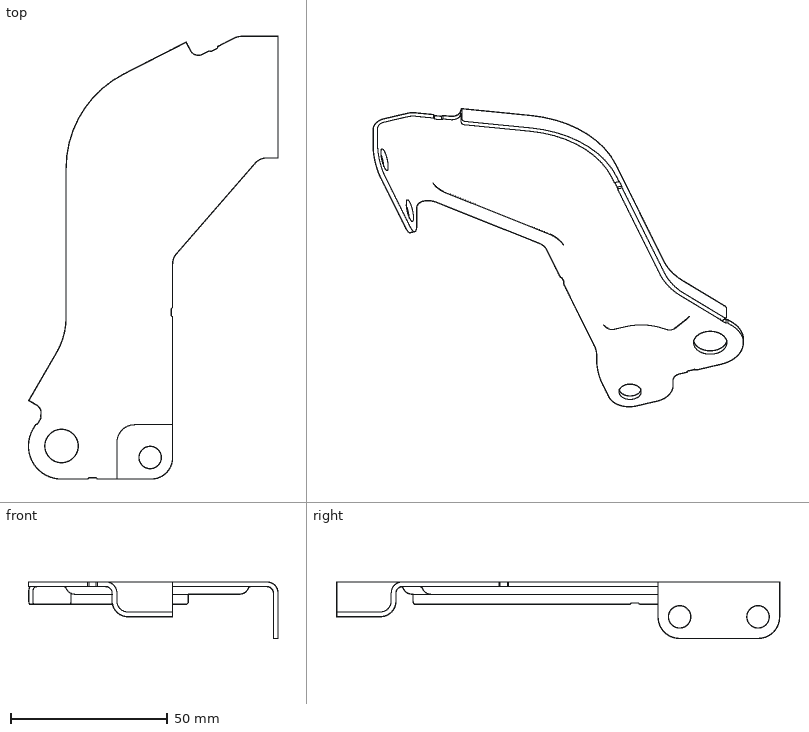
import cadquery as cq
import math

width = 79.9
length = 141.6
thickness = 1.5

shortest_edge = 0.001

upper_slope = 27.0
lower_slope = 60.0
right_slope = 49.0

body_right = 46.2
ear_radius = 10.6
ear_hole_diameter = 10.6
edge_radius = 5.0
relief_radius = 2.8
slant_foot_y = 70.7
head_bottom_y = 102.7

bend_line_x = 15.0
flange_bend_radius = 3.0
flange_depth = 7.2
flange_corner_radius = 1.0
flange_start_y = 23.6
flange_end_x = 51.8
lower_bend_top_y = 51.7
lower_bend_radius = 25.0
upper_bend_bottom_y = 99.4
upper_bend_radius = 30.9

mount_bend_radius = 3.5
mount_depth = 18.1
mount_corner_radius = 7.0

screw_hole_diameter = 7.1

tab_drop = 9.6
tab_bend_radius = 3.5
tab_left_x = 24.8
tab_top_y = 21.0
tab_step_radius = 9.2
tab_corner_radius = 7.0
tab_wall_angle = 90.0
tab_hole_x = 39.0
tab_hole_y = 7.0

panel_depth = 2.4
panel_margin = 5.5
panel_rim_radius = 2.1
panel_floor_radius = 1.4
panel_wall_angle = 65.0
panel_right_x = 71.0
panel_shoulder_y = 130.1
panel_shoulder_end_x = 56.8
panel_foot_y = 26.8
panel_foot_arc_end_x = 27.2
panel_foot_slope = 46.0
panel_end_gap = 12.7
panel_corner_radius = 3.5
panel_head_radius = 5.0
panel_elbow_radius = 9.0
panel_waist_radius = 12.5
panel_foot_radius = 14.9
panel_shoulder_radius = 16.4
panel_dip_radius = 9.8

notch_width = 3.1
notch_depth = 0.4
bottom_notch_x = 20.5
right_notch_y = 53.4
ear_notch_y = 18.8
top_notch_x = 59.2
flange_notch_y = 95.3


def heading(angle):
    return cq.Vector(math.cos(math.radians(angle)), math.sin(math.radians(angle)), 0)


def line(x, y, angle):
    return cq.Vector(x, y, 0), heading(angle)


def shifted(base, distance):
    """The parallel line at a distance to the left of the given one."""
    point, along = base
    return point + cq.Vector(-along.y, along.x, 0) * distance, along


def meet(first, second):
    """Crossing point of two lines."""
    (p, d), (q, e) = first, second
    return p + d * ((q - p).cross(e).z / d.cross(e).z)


def point_at_x(base, x):
    return meet(base, line(x, 0, 90))


def point_at_y(base, y):
    return meet(base, line(0, y, 0))


def rounded_edges(corners, closed=True):
    """Chained edges through (point, radius) corners, each corner rounded by a tangent arc."""
    points = [corner[0] for corner in corners]
    count = len(points)
    edges = []
    if closed:
        first = (points[-1] + points[0]) * 0.5
        inner = range(count)
        last = first
    else:
        first = points[0]
        inner = range(1, count - 1)
        last = points[-1]
    current = first

    def straight_to(end):
        if (end - current).Length > shortest_edge:
            edges.append(cq.Edge.makeLine(current, end))

    for i in inner:
        corner, radius = corners[i]
        if radius == 0:
            straight_to(corner)
            current = corner
            continue
        back = (points[i - 1] - corner).normalized()
        ahead = (points[(i + 1) % count] - corner).normalized()
        half_angle = back.getAngle(ahead) / 2
        reach = radius / math.tan(half_angle)
        start = corner + back * reach
        end = corner + ahead * reach
        bisector = (back + ahead).normalized()
        middle = corner + bisector * (radius / math.sin(half_angle) - radius)
        straight_to(start)
        edges.append(cq.Edge.makeThreePointArc(start, middle, end))
        current = end
    straight_to(last)
    return edges


def sheet(corners, top=0.0):
    """Flat piece of sheet with the given rounded outline and top height."""
    outline = cq.Wire.assembleEdges(rounded_edges(corners))
    flat = cq.Solid.extrudeLinear(outline, [], cq.Vector(0, 0, -thickness))
    return cq.Workplane(flat.translate(cq.Vector(0, 0, top)))


def section_plane(start, along):
    """Plane across a path: local x points to the left of the path, local y points up."""
    return cq.Plane(origin=start.toTuple(), xDir=(-along.y, along.x, 0), normal=along.toTuple())


def swept(section, corners, closed):
    """Carry a sheet section along a rounded path, stretch by stretch."""
    pieces = cq.Workplane()
    for edge in rounded_edges(corners, closed):
        start = edge.startPoint()
        along = edge.tangentAt(0)
        plane = section_plane(start, along)
        face = section(cq.Workplane(plane))
        if edge.geomType() == "LINE":
            piece = face.extrude(edge.Length())
        else:
            center = edge.arcCenter()
            side = plane.toLocalCoords(center).x
            sweep_angle = math.degrees(edge.Length() / edge.radius())
            axis_end = math.copysign(1, side)
            piece = face.revolve(sweep_angle, (side, 0, 0), (side, axis_end, 0))
        pieces = pieces.union(piece)
    return pieces


def turned_down(bend_radius, depth):
    """Section of a flange bent down by a right angle."""
    inner_radius = bend_radius - thickness
    half = math.sqrt(0.5)

    def section(plane):
        return (
            plane.moveTo(0, 0)
            .threePointArc((bend_radius * half, bend_radius * (half - 1)), (bend_radius, -bend_radius))
            .lineTo(bend_radius, -depth)
            .lineTo(inner_radius, -depth)
            .lineTo(inner_radius, -bend_radius)
            .threePointArc((inner_radius * half, inner_radius * half - bend_radius), (0, -thickness))
            .close()
        )

    return section


def step_width(drop, rim_radius, floor_radius, wall_angle):
    """Plan width of a step."""
    angle = math.radians(wall_angle)
    radii = rim_radius + floor_radius
    wall = (drop - radii * (1 - math.cos(angle))) / math.sin(angle)
    return radii * math.sin(angle) + wall * math.cos(angle)


def stepped_down(drop, rim_radius, floor_radius, wall_angle):
    """Section of a step: bend down, straight wall, bend back to level."""
    full = math.radians(wall_angle)
    run = step_width(drop, rim_radius, floor_radius, wall_angle)

    def on_rim(radius, angle):
        return radius * math.sin(angle), radius * math.cos(angle) - rim_radius

    def on_floor(radius, angle):
        return run - radius * math.sin(angle), floor_radius - drop - radius * math.cos(angle)

    rim_under = rim_radius - thickness
    floor_under = floor_radius + thickness

    def section(plane):
        return (
            plane.moveTo(0, 0)
            .threePointArc(on_rim(rim_radius, full / 2), on_rim(rim_radius, full))
            .lineTo(*on_floor(floor_radius, full))
            .threePointArc(on_floor(floor_radius, full / 2), on_floor(floor_radius, 0))
            .lineTo(*on_floor(floor_under, 0))
            .threePointArc(on_floor(floor_under, full / 2), on_floor(floor_under, full))
            .lineTo(*on_rim(rim_under, full))
            .threePointArc(on_rim(rim_under, full / 2), on_rim(rim_under, 0))
            .close()
        )

    return section


left_line = line(bend_line_x, 0, 90)
lower_reach = lower_bend_radius * math.tan(math.radians(90 - lower_slope) / 2)
lower_line = line(bend_line_x, lower_bend_top_y - lower_reach, lower_slope)
upper_reach = upper_bend_radius * math.tan(math.radians(90 - upper_slope) / 2)
upper_line = line(bend_line_x, upper_bend_bottom_y + upper_reach, upper_slope)
right_line = line(body_right, slant_foot_y, 90)
slant_line = line(body_right, slant_foot_y, right_slope)

flange_start = point_at_y(lower_line, flange_start_y)
flange_end = point_at_x(upper_line, flange_end_x)
bend_path = [
    (flange_start, 0),
    (meet(lower_line, left_line), lower_bend_radius),
    (meet(left_line, upper_line), upper_bend_radius),
    (flange_end, 0),
]

ear_center = cq.Vector(ear_radius, ear_radius, 0)
ear_line = shifted((ear_center, heading(lower_slope)), ear_radius)
top_edge_line = shifted(upper_line, -relief_radius)
flange_start_line = (flange_start, heading(lower_slope - 90))
flange_end_line = (flange_end, heading(upper_slope - 90))

mount_line_x = width - mount_bend_radius
tab_path = [
    (cq.Vector(body_right, tab_top_y, 0), 0),
    (cq.Vector(tab_left_x, tab_top_y, 0), tab_step_radius),
    (cq.Vector(tab_left_x, 0, 0), 0),
]

plate_outline = (
    [
        (point_at_y(ear_line, 0), ear_radius),
        (meet(ear_line, flange_start_line), relief_radius),
    ]
    + bend_path
    + [
        (meet(flange_end_line, top_edge_line), relief_radius),
        (point_at_y(top_edge_line, length), edge_radius),
        (cq.Vector(mount_line_x, length, 0), 0),
        (cq.Vector(mount_line_x, head_bottom_y, 0), 0),
        (point_at_y(slant_line, head_bottom_y), edge_radius),
        (meet(slant_line, right_line), edge_radius),
    ]
    + tab_path
)

panel_left = shifted(left_line, -panel_margin)
panel_lower = shifted(lower_line, -panel_margin)
panel_upper = shifted(upper_line, -panel_margin)
panel_right = shifted(right_line, panel_margin)
panel_slant = shifted(slant_line, panel_margin)
panel_dip = line(panel_shoulder_end_x, panel_shoulder_y, upper_slope)
panel_foot = line(panel_foot_arc_end_x, panel_foot_y, panel_foot_slope)
panel_end = shifted((ear_center, heading(lower_slope - 90)), panel_end_gap)
panel_outline = [
    (meet(panel_left, panel_lower), lower_bend_radius + panel_margin),
    (meet(panel_lower, panel_end), panel_corner_radius),
    (meet(panel_end, panel_foot), panel_corner_radius),
    (point_at_y(panel_foot, panel_foot_y), panel_foot_radius),
    (point_at_y(panel_right, panel_foot_y), panel_corner_radius),
    (meet(panel_right, panel_slant), panel_waist_radius),
    (point_at_x(panel_slant, panel_right_x), panel_elbow_radius),
    (point_at_x(panel_dip, panel_right_x), panel_head_radius),
    (point_at_y(panel_dip, panel_shoulder_y), panel_dip_radius),
    (point_at_y(panel_upper, panel_shoulder_y), panel_shoulder_radius),
    (meet(panel_upper, panel_left), upper_bend_radius - panel_margin),
]


def make_plate():
    ear_hole = cq.Workplane().center(ear_center.x, ear_center.y).circle(ear_hole_diameter / 2)
    return sheet(plate_outline).cut(sheet(panel_outline)).cut(ear_hole.extrude(-thickness))


def inset_corners(corners, distance):
    """Counter-clockwise outline moved inwards, with its arcs kept concentric."""
    points = [corner[0] for corner in corners]
    sides = []
    for i, point in enumerate(points):
        sides.append(shifted((points[i - 1], (point - points[i - 1]).normalized()), distance))
    moved = []
    for i, (_, radius) in enumerate(corners):
        following = sides[(i + 1) % len(sides)]
        turn = sides[i][1].cross(following[1]).z
        moved.append((meet(sides[i], following), radius - math.copysign(distance, turn)))
    return moved


def make_panel():
    step = (panel_depth, panel_rim_radius, panel_floor_radius, panel_wall_angle)
    wall = swept(stepped_down(*step), panel_outline, closed=True)
    floor = sheet(inset_corners(panel_outline, step_width(*step)), -panel_depth)
    return wall.union(floor)


def make_left_flange():
    flange = swept(turned_down(flange_bend_radius, flange_depth), bend_path, closed=False)
    for end in (flange_start_line, flange_end_line):
        lip = end[0] - end[1] * (flange_bend_radius - thickness / 2)
        low = (lip.x - thickness, lip.y - thickness, -flange_depth - thickness)
        high = (lip.x + thickness, lip.y + thickness, -flange_depth + thickness)
        corner = flange.edges(cq.selectors.BoxSelector(low, high)).edges("<Z")
        flange = corner.fillet(flange_corner_radius)
    return flange


def make_mounting_flange():
    bend_end = cq.Vector(mount_line_x, length, 0)
    bend_start = cq.Vector(mount_line_x, head_bottom_y, 0)
    path = [(bend_end, 0), (bend_start, 0)]
    flange = swept(turned_down(mount_bend_radius, mount_depth), path, closed=False)
    flange = flange.faces("<Z").edges("|X").fillet(mount_corner_radius)
    inset = mount_corner_radius
    holes = (
        cq.Workplane("YZ")
        .pushPoints([(y, inset - mount_depth) for y in (head_bottom_y + inset, length - inset)])
        .circle(screw_hole_diameter / 2)
        .extrude(width)
    )
    return flange.cut(holes)


def make_tab():
    step = (tab_drop, tab_bend_radius, tab_bend_radius, tab_wall_angle)
    run = step_width(*step)
    wall = swept(stepped_down(*step), tab_path, closed=False)
    left = tab_left_x + run
    top = tab_top_y - run
    floor = sheet(
        [
            (cq.Vector(left, 0, 0), 0),
            (cq.Vector(body_right, 0, 0), tab_corner_radius),
            (cq.Vector(body_right, top, 0), 0),
            (cq.Vector(left, top, 0), tab_step_radius - run),
        ],
        -tab_drop,
    )
    hole = (
        cq.Workplane()
        .center(tab_hole_x, tab_hole_y)
        .circle(screw_hole_diameter / 2)
        .extrude(-tab_drop - thickness)
    )
    return wall.union(floor.cut(hole))


def notch(plane, reach):
    """Shallow trapezoid cut into the edge on local x, on its +y side."""
    half = notch_width / 2
    inner = half - notch_depth
    outline = [
        (-half, -notch_depth),
        (-half, 0),
        (-inner, notch_depth),
        (inner, notch_depth),
        (half, 0),
        (half, -notch_depth),
    ]
    return cq.Workplane(plane).polyline(outline).close().extrude(reach, both=True)


def plan_notch(point, along):
    return notch(cq.Plane(origin=point.toTuple(), xDir=along.toTuple(), normal=(0, 0, 1)), thickness)


result = make_plate()
for piece in (make_panel(), make_left_flange(), make_mounting_flange(), make_tab()):
    result = result.union(piece)

plan_notches = [
    (cq.Vector(bottom_notch_x, 0, 0), heading(0)),
    (cq.Vector(body_right, right_notch_y, 0), heading(90)),
    (point_at_y(ear_line, ear_notch_y), heading(lower_slope + 180)),
    (point_at_x(top_edge_line, top_notch_x), heading(upper_slope + 180)),
]
for notch_point, edge_direction in plan_notches:
    result = result.cut(plan_notch(notch_point, edge_direction))

flange_notch_plane = cq.Plane(
    origin=(bend_line_x - flange_bend_radius, flange_notch_y, -flange_depth),
    xDir=(0, 1, 0),
    normal=(1, 0, 0),
)
result = result.cut(notch(flange_notch_plane, flange_bend_radius))